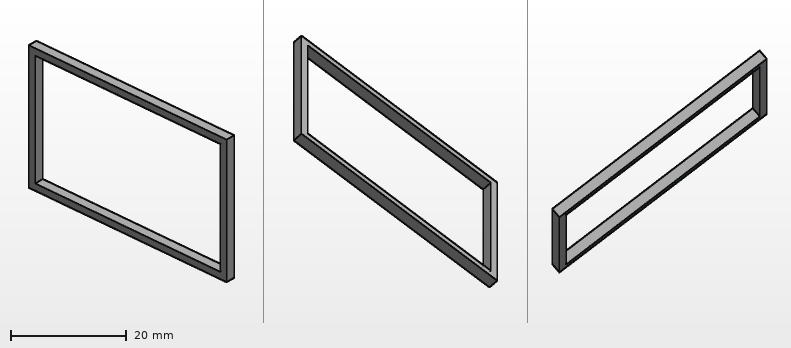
import cadquery as cq

frame_length = 46.0
frame_depth = 2.0
frame_height = 29.0

bar_width = 1.5

opening_length = frame_length - 2 * bar_width
opening_height = frame_height - 2 * bar_width

frame_blank = cq.Workplane("XY").box(frame_length, frame_depth, frame_height)

opening = cq.Workplane("XY").box(opening_length, frame_depth, opening_height)

result = frame_blank.cut(opening)